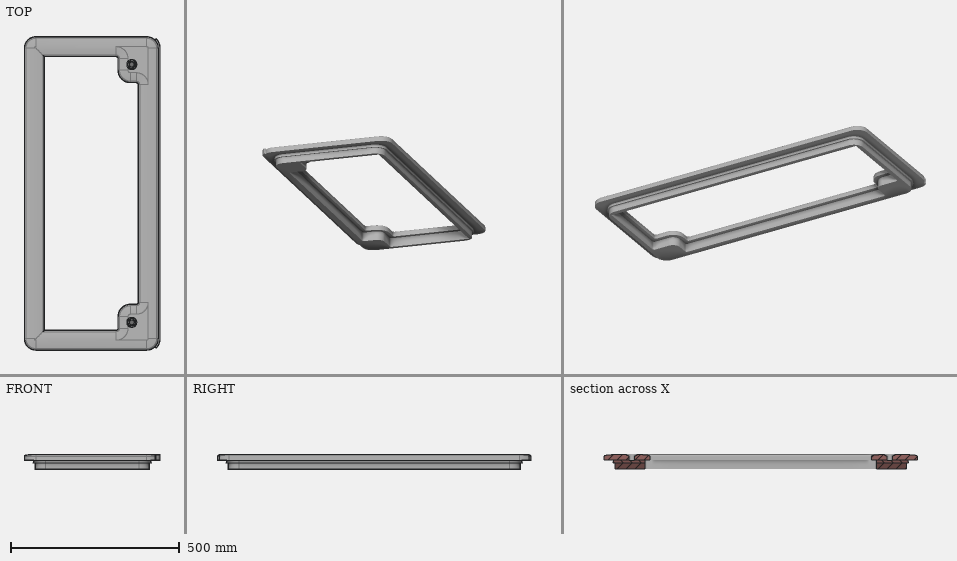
import cadquery as cq
import math

TOTAL_X = 403.0
TOTAL_Y = 930.0
TOP_Z = 45.0
SEAL_BOTTOM_Z = 19.0
SEAL_TOP_Z = 27.0

LIP_THICKNESS = 6.0
LIP_TOP_Z = 44.0
CORNER_RADIUS = 34.0
RAIL_WIDTH = 59.5
CROWN_DROP = 3.0
EDGE_ROUND = 5.0

BOSS_EDGE_X = 76.0
BOSS_EDGE_Y = 328.0
BOSS_RADIUS = 37.0
BOSS_ROOT_RADIUS = 6.0
LOCK_X = 117.0
LOCK_Y = 382.0
LOCK_STEPS = [(15.0, 2.0), (11.0, 4.0), (7.0, TOP_Z - SEAL_TOP_Z)]

BASE_INSET = 32.0
BASE_CORNER_RADIUS = 32.0
BASE_OPENING_INSET = 14.0
SEAL_FLARE_TOP = 4.0
SEAL_FLARE_BOTTOM = 6.0

FRAME_X = TOTAL_X - LIP_THICKNESS
FRAME_CENTER_X = -LIP_THICKNESS / 2
FRAME_MAX_X = FRAME_CENTER_X + FRAME_X / 2
FRAME_MIN_X = FRAME_CENTER_X - FRAME_X / 2
OPEN_MIN_X = FRAME_MIN_X + RAIL_WIDTH
OPEN_MAX_X = FRAME_MAX_X - RAIL_WIDTH
OPEN_HALF_Y = TOTAL_Y / 2 - RAIL_WIDTH
CUT_MARGIN = 2.0
DIAGONAL = math.sqrt(0.5)
RIDGE_TOLERANCE = 0.0001


def rounded_slab(size_x, size_y, radius, bottom_z, top_z, center_x=0.0):
    """Rectangular slab with rounded vertical corners."""
    slab = cq.Workplane("XY", origin=(center_x, 0, bottom_z)).rect(size_x, size_y)
    return slab.extrude(top_z - bottom_z).edges("|Z").fillet(radius)


def arc_middle(start, end, center):
    """Middle point of a quarter arc, along the sum of its two end radii."""
    return tuple(c + (p + q - 2 * c) * DIAGONAL for p, q, c in zip(start, end, center))


def opening_wire(z, inset=0.0):
    """Closed outline of the opening around both lock bosses, set back into the rails by inset."""
    min_x = OPEN_MIN_X - inset
    max_x = OPEN_MAX_X + inset
    half_y = OPEN_HALF_Y + inset
    boss_x = BOSS_EDGE_X + inset
    boss_y = BOSS_EDGE_Y + inset
    round_r = BOSS_RADIUS - inset
    root_r = BOSS_ROOT_RADIUS

    boss_arcs = [
        ((max_x, boss_y - root_r), (max_x - root_r, boss_y), (max_x - root_r, boss_y - root_r)),
        ((boss_x + round_r, boss_y), (boss_x, boss_y + round_r), (boss_x + round_r, boss_y + round_r)),
        ((boss_x, half_y - root_r), (boss_x - root_r, half_y), (boss_x - root_r, half_y - root_r)),
    ]
    outline = cq.Workplane("XY", origin=(0, 0, z)).moveTo(min_x, 0).lineTo(min_x, -half_y)
    for start, end, center in reversed(boss_arcs):
        middle = arc_middle(start, end, center)
        outline = outline.lineTo(end[0], -end[1])
        outline = outline.threePointArc((middle[0], -middle[1]), (start[0], -start[1]))
    for start, end, center in boss_arcs:
        outline = outline.lineTo(*start).threePointArc(arc_middle(start, end, center), end)
    return outline.lineTo(min_x, half_y).close()


def crown_cutter(path, start_x, inward):
    """Space above one half of the crown, swept along an edge of the rails.

    The path crosses the X axis at start_x; inward is the X direction (+1 or -1) into the rail there.
    """
    half = RAIL_WIDTH / 2
    crown_radius = (half ** 2 + CROWN_DROP ** 2) / (2 * CROWN_DROP)

    def crown_z(depth):
        """Height of the crown at a distance into the rail."""
        return TOP_Z - crown_radius + math.sqrt(crown_radius ** 2 - (half - depth) ** 2)

    wall_z = crown_z(EDGE_ROUND) - EDGE_ROUND
    round_mid = EDGE_ROUND * (1 - DIAGONAL)
    crown_mid = (half + EDGE_ROUND) / 2
    profile = (
        cq.Workplane("XZ", origin=(start_x, 0, 0))
        .moveTo(0, wall_z)
        .threePointArc((inward * round_mid, wall_z + EDGE_ROUND - round_mid),
                       (inward * EDGE_ROUND, crown_z(EDGE_ROUND)))
        .threePointArc((inward * crown_mid, crown_z(crown_mid)), (inward * half, TOP_Z))
        .lineTo(inward * half, TOP_Z + CUT_MARGIN)
        .lineTo(-inward * CUT_MARGIN, TOP_Z + CUT_MARGIN)
        .lineTo(-inward * CUT_MARGIN, wall_z)
        .close()
    )
    return profile.sweep(path, transition="right")


def make_lip():
    """Raised lip along the +X edge that wraps both corners halfway."""
    outer = rounded_slab(FRAME_X + 2 * LIP_THICKNESS, TOTAL_Y + 2 * LIP_THICKNESS,
                         CORNER_RADIUS + LIP_THICKNESS, SEAL_TOP_Z, LIP_TOP_Z, FRAME_CENTER_X)
    inner = rounded_slab(FRAME_X, TOTAL_Y, CORNER_RADIUS, SEAL_TOP_Z, LIP_TOP_Z, FRAME_CENTER_X)
    corner_x = FRAME_MAX_X - CORNER_RADIUS
    corner_y = TOTAL_Y / 2 - CORNER_RADIUS
    reach = CORNER_RADIUS + LIP_THICKNESS + CUT_MARGIN
    sector = (
        cq.Workplane("XY", origin=(0, 0, SEAL_TOP_Z))
        .polyline([(corner_x, -corner_y), (corner_x + reach, -corner_y - reach),
                   (corner_x + reach, corner_y + reach), (corner_x, corner_y)])
        .close()
        .extrude(LIP_TOP_Z - SEAL_TOP_Z)
    )
    return outer.cut(inner).intersect(sector)


def lock_recess(y):
    """Stepped round recess for a lock, its narrow bore going through the frame."""
    recess = cq.Workplane("XY")
    for radius, depth in LOCK_STEPS:
        step = cq.Workplane("XY", origin=(LOCK_X, y, TOP_Z - depth)).circle(radius).extrude(depth)
        recess = recess.add(step)
    return recess.combine()


def make_frame():
    """Crowned top frame with its lip and both lock recesses."""
    slab = rounded_slab(FRAME_X, TOTAL_Y, CORNER_RADIUS, SEAL_TOP_Z, TOP_Z, FRAME_CENTER_X)
    outer_path = slab.faces("<Z").wires()
    inner_path = opening_wire(SEAL_TOP_Z)
    frame = slab.cut(opening_wire(SEAL_TOP_Z).extrude(TOP_Z - SEAL_TOP_Z))
    frame = frame.cut(crown_cutter(outer_path, FRAME_MIN_X, 1))
    frame = frame.cut(crown_cutter(inner_path, OPEN_MIN_X, -1), tol=RIDGE_TOLERANCE)
    frame = frame.union(make_lip())
    for y in (-LOCK_Y, LOCK_Y):
        frame = frame.cut(lock_recess(y))
    return frame


def make_seal():
    """Seal between frame and base, flaring outward toward its bottom."""
    size_x = TOTAL_X - 2 * (BASE_INSET - SEAL_FLARE_BOTTOM)
    size_y = TOTAL_Y - 2 * (BASE_INSET - SEAL_FLARE_BOTTOM)
    height = SEAL_TOP_Z - SEAL_BOTTOM_Z
    draft = math.degrees(math.atan2(SEAL_FLARE_BOTTOM - SEAL_FLARE_TOP, height))
    outline = cq.Sketch().rect(size_x, size_y).vertices().fillet(BASE_CORNER_RADIUS + SEAL_FLARE_BOTTOM)
    seal = cq.Workplane("XY", origin=(0, 0, SEAL_BOTTOM_Z)).placeSketch(outline).extrude(height, taper=draft)
    return seal.cut(opening_wire(SEAL_BOTTOM_Z, BASE_OPENING_INSET).extrude(height))


def make_base():
    """Plain ring under the seal."""
    base = rounded_slab(TOTAL_X - 2 * BASE_INSET, TOTAL_Y - 2 * BASE_INSET,
                        BASE_CORNER_RADIUS, 0, SEAL_BOTTOM_Z)
    return base.cut(opening_wire(0, BASE_OPENING_INSET).extrude(SEAL_BOTTOM_Z))


frame = make_frame()
seal = make_seal()
base = make_base()
result = cq.Compound.makeCompound([frame.val(), seal.val(), base.val()])